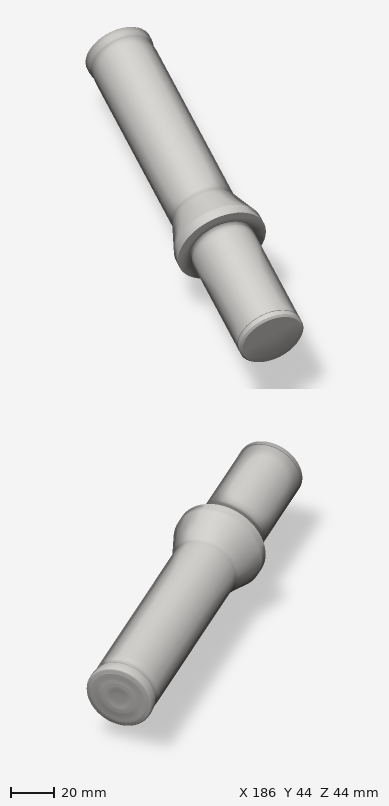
import cadquery as cq
import math

length = 186.0
left_end = -length / 2
right_end = length / 2
shaft_radius = 32.0 / 2
groove_radius = 31.5 / 2

collar_radius = 44.0 / 2
cone_start = left_end + 103.5
cone_end = left_end + 120.7
collar_end = left_end + 125.7
cone_angle = math.radians(20)
cone_blend_length = 1.7
collar_bevel = 0.5

relief_blend = 0.5
relief_width = 1.3
relief_taper = 1.1

snap_groove_start = left_end + 182.3
snap_groove_width = 0.5
end_chamfer = 1.0

cap_radius = 32.7 / 2
cap_length = 8.4
cap_edge_depth = 1.7
cap_band_end = 3.9
cap_taper_end = 5.5
cap_taper_radius = 16.2
cap_neck_start = 6.7
shaft_chamfer = 0.5
shaft_lead_in_end = 11.2
shaft_lead_in_radius = 15.8

cap_face_profile = [
    (15.6, 0.5),
    (13.8, 0.13),
    (13.0, 0.13),
    (11.5, 0.2),
    (10.5, 0.2),
    (8.4, 0),
    (6.3, 0),
    (5.8, 0.05),
    (4.0, 0.33),
    (3.0, 0.46),
    (1.3, 0.52),
]
cap_edge_bulge = 0.2

seat = left_end + cap_length


def revolve_about_x(profile):
    """Turn a closed (x, radius) profile into a solid around the X axis."""
    return profile.close().revolve(360, (0, 0, 0), (1, 0, 0))


def add_collar(profile):
    """Continue the shaft profile over the blended cone, the collar and its relief groove."""
    blend_radius = cone_blend_length / math.sin(cone_angle)
    half_angle = cone_angle / 2
    blend_middle = (
        cone_start + blend_radius * math.sin(half_angle),
        shaft_radius + blend_radius * (1 - math.cos(half_angle)),
    )
    blend_end = (
        cone_start + cone_blend_length,
        shaft_radius + blend_radius * (1 - math.cos(cone_angle)),
    )
    cone_end_radius = blend_end[1] + (cone_end - blend_end[0]) * math.tan(cone_angle)
    relief_end = collar_end + relief_width
    return (
        profile.lineTo(cone_start, shaft_radius)
        .threePointArc(blend_middle, blend_end)
        .lineTo(cone_end, cone_end_radius)
        .lineTo(cone_end + collar_bevel, collar_radius)
        .lineTo(collar_end, collar_radius)
        .lineTo(collar_end, shaft_radius)
        .lineTo(collar_end + relief_blend, groove_radius)
        .lineTo(relief_end, groove_radius)
        .lineTo(relief_end + relief_taper, shaft_radius)
    )


def add_right_end(profile):
    """Continue the shaft profile over the right-hand groove and the end chamfer."""
    snap_groove_end = snap_groove_start + snap_groove_width
    return (
        profile.lineTo(snap_groove_start, shaft_radius)
        .lineTo(snap_groove_start, groove_radius)
        .lineTo(snap_groove_end, groove_radius)
        .lineTo(snap_groove_end, shaft_radius)
        .lineTo(right_end - end_chamfer, shaft_radius)
        .lineTo(right_end, shaft_radius - end_chamfer)
        .lineTo(right_end, 0)
    )


def make_shaft():
    profile = (
        cq.Workplane("XY")
        .moveTo(seat, 0)
        .lineTo(seat, groove_radius)
        .lineTo(seat + shaft_chamfer, shaft_lead_in_radius)
        .lineTo(left_end + shaft_lead_in_end, shaft_radius)
    )
    return revolve_about_x(add_right_end(add_collar(profile)))


def make_cap():
    rim_radius, rim_depth = cap_face_profile[0]
    dish_depth = cap_face_profile[-1][1]
    edge_middle = (
        left_end + (rim_depth + cap_edge_depth) / 2 - cap_edge_bulge,
        (rim_radius + cap_radius) / 2 + cap_edge_bulge / 2,
    )
    profile = (
        cq.Workplane("XY")
        .moveTo(seat, 0)
        .lineTo(seat, groove_radius)
        .lineTo(left_end + cap_neck_start, groove_radius)
        .lineTo(left_end + cap_taper_end, cap_taper_radius)
        .lineTo(left_end + cap_band_end, cap_radius)
        .lineTo(left_end + cap_edge_depth, cap_radius)
        .threePointArc(edge_middle, (left_end + rim_depth, rim_radius))
    )
    for radius, depth in cap_face_profile[1:]:
        profile = profile.lineTo(left_end + depth, radius)
    return revolve_about_x(profile.lineTo(left_end + dish_depth, 0))


shaft = make_shaft()
cap = make_cap()
result = cq.Compound.makeCompound([shaft.val(), cap.val()])